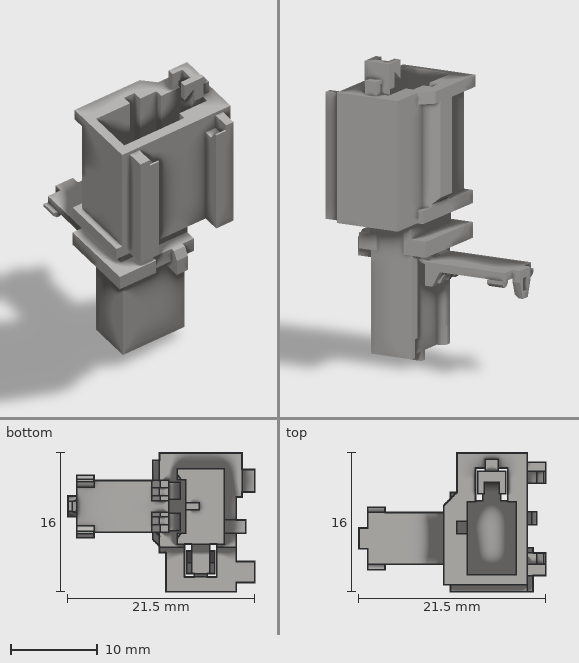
import cadquery as cq
import math


TOTAL_HEIGHT = 36.8
PIN_LENGTH = 1.18
COLLAR_BOTTOM = 13.58
COLLAR_TOP = 15.45
HOUSING_BOTTOM = 17.7
FLANGE_TOP = 19.25
RIM_BOTTOM = 31.75
HOUSING_TOP = 33.2

RIM_LEFT = 9.75
WALL_LEFT = 11.25
HOUSING_RIGHT = 19.35
HOUSING_FRONT = 0.8
HOUSING_BACK = 15.97
RIM_CORNER = 1.5
RIDGE_STEP = WALL_LEFT - RIM_LEFT
RIDGE_FRONT = 6.15
RIDGE_BACK = 8.75
FLANGE_LEFT = 10.52
FLANGE_BACK = 11.45
RIDGE_FOOT_BEVEL = FLANGE_LEFT - RIM_LEFT
RIDGE_FOOT = 19.58

LATCH_X = 15.27
CAVITY_WIDTH = 5.65
CAVITY_FRONT = 1.95
CAVITY_BACK = 10.38
KEYWAY_FRONT = 6.7
KEYWAY_WIDTH = 1.45
KEYWAY_FLOOR = RIDGE_FOOT + RIDGE_FOOT_BEVEL
SLOT_WIDTH = 3.68
SLOT_BACK = 14.25

ARM_WIDTH = 2.1
ARM_FRONT = 12.62
ARM_BACK = 13.87
ARM_ROOT_RADIUS = 1.1
HEAD_WIDTH = 3.25
HEAD_BOTTOM = 33.8
HEAD_GAP_WIDTH = 1.7
NOSE_FRONT = 11.25
NOSE_TIP_Z = 34.55
NOSE_ROOT_Z = 35.7
STRAP_WIDTH = 1.5
STRAP_BACK = 15.25
STRAP_TOP = 34.85
STRAP_THICKNESS = 0.45

STEM_LEFT = 12.55
STEM_RIGHT = 18.0
STEM_FRONT = 1.85
STEM_BACK = 10.5
NECK_FRONT = 1.55
NECK_BACK = 10.85
COLLAR_RIGHT = 20.02
COLLAR_STEP_Y = 5.08
CHANNEL_DEPTH = 1.0
CHANNEL_WIDTH = 6.2
FLARE_WIDTH = 0.6
FLARE_DEPTH = 0.45
FLARE_HEIGHT = 2.25
PIN_WIDTH = 1.6
PIN_THICKNESS = 0.8

STOP_FRONT = 7.7
STOP_BACK = 9.25
STOP_RIGHT = 20.45
STOP_BOTTOM = 12.25
STOP_SLOPE_RUN = 0.6
STOP_SLOPE_RISE = 1.05

RAIL_RIGHT = 21.5
RAIL_TOP = 32.75
RAIL_LEG_FRONT = (1.88, 3.2)
RAIL_LIP_FRONT = (3.2, 4.5)
RAIL_LEG_BACK = (13.87, 14.9)
RAIL_LIP_BACK = (12.48, 13.87)
LIP_TOP = 31.9
LIP_THICKNESS = 0.22
LIP_SLOPE_RUN = 0.85
LIP_SLOPE_RISE = 1.05

LID_Y = 6.15
LID_LEFT = 1.0
LID_RIGHT = 11.6
LID_WIDTH = 5.95
LID_TOP = 12.6
LID_BOTTOM = 11.6
TONGUE_WIDTH = 2.43
TONGUE_TIP_WIDTH = 1.15
TONGUE_BOTTOM = 9.13
TONGUE_TAPER_Z = 11.15
TONGUE_BEVEL = 0.48
WINDOW_WIDTH = 1.03
WINDOW_BOTTOM = 9.95
EAR_LENGTH = 2.02
EAR_REACH = 3.6
EAR_TOP = 11.75
EAR_BOTTOM = 10.85
EAR_NOSE_HEIGHT = 0.45
EAR_FOOT_WIDTH = 0.3
EAR_ROOT_WIDTH = 0.77
EAR_FLANK_RADIUS = 0.92
LEG_LEFT = 9.65
LEG_BOTTOM = 9.75
LEG_SLOPE_RUN = 1.0
OUTER_LEG_WIDTH = 0.85
INNER_LEG_WIDTH = 0.55
WEB_BOTTOM = 10.7
HINGE_THICKNESS = 0.33
HINGE_RADIUS = COLLAR_BOTTOM - LID_TOP
HINGE_WIDTH = 2.0
HINGE_OFFSET = 1.8


def block(x, y, z):
    """Box from (low, high) pairs along each axis."""
    size = (x[1] - x[0], y[1] - y[0], z[1] - z[0])
    return cq.Workplane("XY").box(*size, centered=False).translate((x[0], y[0], z[0]))


def about(centre, width):
    """(low, high) pair of the given width about a centre."""
    return (centre - width / 2, centre + width / 2)


def side_prism(points, y):
    """Prism along Y from an (X, Z) outline."""
    prism = cq.Workplane("XZ").polyline(points).close().extrude(y[0] - y[1])
    return prism.translate((0, y[0], 0))


def end_prism(points, x):
    """Prism along X from a (Y, Z) outline."""
    return cq.Workplane("YZ").polyline(points).close().extrude(x[1] - x[0]).translate((x[0], 0, 0))


def make_housing():
    depth = (HOUSING_FRONT, HOUSING_BACK)
    walls = block((WALL_LEFT, HOUSING_RIGHT), depth, (HOUSING_BOTTOM, HOUSING_TOP))
    flange = block((FLANGE_LEFT, HOUSING_RIGHT), (0, FLANGE_BACK), (HOUSING_BOTTOM, FLANGE_TOP))

    rim_back = FLANGE_BACK - RIM_CORNER
    rim_outline = [
        (WALL_LEFT, HOUSING_FRONT),
        (RIM_LEFT, HOUSING_FRONT),
        (RIM_LEFT, rim_back),
        (WALL_LEFT, FLANGE_BACK),
    ]
    rim = cq.Workplane("XY").workplane(offset=RIM_BOTTOM).polyline(rim_outline).close()
    rim = rim.extrude(HOUSING_TOP - RIM_BOTTOM)

    ridge_outline = [
        (WALL_LEFT, RIDGE_FRONT - RIDGE_STEP),
        (RIM_LEFT, RIDGE_FRONT),
        (RIM_LEFT, RIDGE_BACK),
        (WALL_LEFT, RIDGE_BACK + RIDGE_STEP),
    ]
    ridge = cq.Workplane("XY").workplane(offset=FLANGE_TOP).polyline(ridge_outline).close()
    ridge = ridge.extrude(RIM_BOTTOM - FLANGE_TOP)
    foot_outline = [
        (RIM_LEFT, FLANGE_TOP),
        (FLANGE_LEFT, FLANGE_TOP),
        (FLANGE_LEFT, RIDGE_FOOT),
        (RIM_LEFT, RIDGE_FOOT + RIDGE_FOOT_BEVEL),
    ]
    ridge = ridge.cut(side_prism(foot_outline, depth))
    return walls.union(flange).union(rim).union(ridge)


def make_stem():
    stem = block((STEM_LEFT, STEM_RIGHT), (STEM_FRONT, STEM_BACK), (PIN_LENGTH, COLLAR_BOTTOM))
    neck = block((STEM_LEFT, STEM_RIGHT), (NECK_FRONT, NECK_BACK), (COLLAR_TOP, HOUSING_BOTTOM))
    collar_z = (COLLAR_BOTTOM, COLLAR_TOP)
    collar = block((FLANGE_LEFT, HOUSING_RIGHT), (0, NECK_BACK), collar_z)
    collar = collar.union(block((HOUSING_RIGHT, COLLAR_RIGHT), (0, COLLAR_STEP_Y), collar_z))

    floor_x = STEM_LEFT + CHANNEL_DEPTH
    channel_x = (STEM_LEFT, floor_x)
    low, high = about(LID_Y, CHANNEL_WIDTH)
    stem = stem.cut(block(channel_x, (low, high), (PIN_LENGTH, COLLAR_BOTTOM)))
    flare_outline = [
        (STEM_LEFT, low - FLARE_WIDTH),
        (STEM_LEFT + FLARE_DEPTH, low),
        (STEM_LEFT + FLARE_DEPTH, high),
        (STEM_LEFT, high + FLARE_WIDTH),
    ]
    flare = cq.Workplane("XY").workplane(offset=PIN_LENGTH).polyline(flare_outline).close()
    stem = stem.cut(flare.extrude(FLARE_HEIGHT))

    pin = block((floor_x, floor_x + PIN_WIDTH), about(LID_Y, PIN_THICKNESS), (0, PIN_LENGTH))
    return stem.union(pin).union(neck).union(collar)


def make_stop():
    slope_bottom = COLLAR_TOP - STOP_SLOPE_RISE
    outline = [
        (STEM_RIGHT, STOP_BOTTOM),
        (STOP_RIGHT, STOP_BOTTOM),
        (STOP_RIGHT, slope_bottom),
        (STOP_RIGHT - STOP_SLOPE_RUN, COLLAR_TOP),
        (STEM_RIGHT, COLLAR_TOP),
    ]
    return side_prism(outline, (STOP_FRONT, STOP_BACK))


def make_rail(leg_y, lip_y):
    """Full-height leg beside a lower ledge that ends in a raised lip."""
    leg = block((HOUSING_RIGHT, RAIL_RIGHT), leg_y, (HOUSING_BOTTOM, RAIL_TOP))
    lip_left = RAIL_RIGHT - LIP_THICKNESS
    ledge_right = lip_left - LIP_SLOPE_RUN
    ledge_top = LIP_TOP - LIP_SLOPE_RISE
    lip_outline = [
        (HOUSING_RIGHT, HOUSING_BOTTOM),
        (RAIL_RIGHT, HOUSING_BOTTOM),
        (RAIL_RIGHT, LIP_TOP),
        (lip_left, LIP_TOP),
        (ledge_right, ledge_top),
        (HOUSING_RIGHT, ledge_top),
    ]
    return leg.union(side_prism(lip_outline, lip_y))


def make_openings():
    """Cavity with its shallower keyway, plus the latch slot that runs down through the collar."""
    cavity_z = (FLANGE_TOP, HOUSING_TOP)
    cavity = block(about(LATCH_X, CAVITY_WIDTH), (CAVITY_FRONT, CAVITY_BACK), cavity_z)
    keyway_y = (KEYWAY_FRONT, KEYWAY_FRONT + KEYWAY_WIDTH)
    keyway = block((WALL_LEFT, LATCH_X), keyway_y, (KEYWAY_FLOOR, HOUSING_TOP))
    slot_x = about(LATCH_X, SLOT_WIDTH)
    slot = block(slot_x, (STEM_BACK, SLOT_BACK), (COLLAR_BOTTOM, HOUSING_TOP))
    slot_mouth = block(slot_x, (CAVITY_BACK, STEM_BACK), cavity_z)
    return cavity.union(keyway).union(slot).union(slot_mouth)


def make_latch():
    """Spring arm rising from the cavity floor, with a forked hook and a strap to the back wall."""
    arm_x = about(LATCH_X, ARM_WIDTH)
    fillet_top = FLANGE_TOP + ARM_ROOT_RADIUS
    bend = ARM_ROOT_RADIUS * (1 - math.sqrt(0.5))
    arm = (
        cq.Workplane("YZ")
        .moveTo(STEM_BACK, HOUSING_BOTTOM)
        .lineTo(ARM_BACK, HOUSING_BOTTOM)
        .lineTo(ARM_BACK, HEAD_BOTTOM)
        .lineTo(ARM_FRONT, HEAD_BOTTOM)
        .lineTo(ARM_FRONT, fillet_top)
        .threePointArc((ARM_FRONT - bend, FLANGE_TOP + bend), (ARM_FRONT - ARM_ROOT_RADIUS, FLANGE_TOP))
        .lineTo(STEM_BACK, FLANGE_TOP)
        .close()
        .extrude(ARM_WIDTH)
        .translate((arm_x[0], 0, 0))
    )
    head_outline = [
        (ARM_BACK, HEAD_BOTTOM),
        (ARM_BACK, TOTAL_HEIGHT),
        (NOSE_FRONT, TOTAL_HEIGHT),
        (NOSE_FRONT, NOSE_TIP_Z),
        (ARM_FRONT, NOSE_ROOT_Z),
        (ARM_FRONT, HEAD_BOTTOM),
    ]
    head = end_prism(head_outline, about(LATCH_X, HEAD_WIDTH))
    gap_x = about(LATCH_X, HEAD_GAP_WIDTH)
    head = head.cut(block(gap_x, (NOSE_FRONT, ARM_FRONT), (HEAD_BOTTOM, TOTAL_HEIGHT)))

    strap_bottom = STRAP_TOP - STRAP_THICKNESS
    strap_outline = [
        (ARM_BACK, strap_bottom),
        (ARM_BACK, STRAP_TOP),
        (STRAP_BACK, STRAP_TOP),
        (STRAP_BACK, HOUSING_TOP),
        (SLOT_BACK, HOUSING_TOP),
        (SLOT_BACK, strap_bottom),
    ]
    strap = end_prism(strap_outline, about(LATCH_X, STRAP_WIDTH))
    return arm.union(head).union(strap)


def make_tongue():
    """Tapered tongue with a window and a bevelled inner tip."""
    half = TONGUE_WIDTH / 2
    half_tip = TONGUE_TIP_WIDTH / 2
    tongue_outline = [
        (LID_Y - half, LID_TOP),
        (LID_Y - half, TONGUE_TAPER_Z),
        (LID_Y - half_tip, TONGUE_BOTTOM),
        (LID_Y + half_tip, TONGUE_BOTTOM),
        (LID_Y + half, TONGUE_TAPER_Z),
        (LID_Y + half, LID_TOP),
    ]
    tongue = end_prism(tongue_outline, (0, LID_LEFT))
    bevel_outline = [
        (LID_LEFT - TONGUE_BEVEL, TONGUE_BOTTOM),
        (LID_LEFT, TONGUE_BOTTOM),
        (LID_LEFT, TONGUE_BOTTOM + TONGUE_BEVEL),
    ]
    tongue = tongue.cut(side_prism(bevel_outline, about(LID_Y, TONGUE_WIDTH)))
    return tongue.cut(block((0, LID_LEFT), about(LID_Y, WINDOW_WIDTH), (WINDOW_BOTTOM, LID_BOTTOM)))


def make_ear():
    """Barbed snap ear on the +Y side of the lid, with a rounded inner flank."""
    lid_side = LID_Y + LID_WIDTH / 2
    tip = LID_Y + EAR_REACH
    foot_inner = lid_side - EAR_FOOT_WIDTH / 2
    foot_outer = lid_side + EAR_FOOT_WIDTH / 2
    ear = (
        cq.Workplane("YZ")
        .moveTo(lid_side, LID_BOTTOM)
        .lineTo(tip, EAR_TOP)
        .lineTo(tip, EAR_TOP - EAR_NOSE_HEIGHT)
        .lineTo(foot_outer, EAR_BOTTOM)
        .lineTo(foot_inner, EAR_BOTTOM)
        .radiusArc((lid_side - EAR_ROOT_WIDTH, LID_BOTTOM), EAR_FLANK_RADIUS)
        .lineTo(lid_side - EAR_ROOT_WIDTH, LID_TOP)
        .lineTo(lid_side, LID_TOP)
        .close()
        .extrude(EAR_LENGTH)
    )
    return ear.translate((LID_LEFT, 0, 0))


def make_leg(y, bottom, slope_run):
    """Wedge-shaped leg under the hinge end of the lid."""
    outline = [
        (LEG_LEFT, LID_BOTTOM),
        (LEG_LEFT + slope_run, bottom),
        (LID_RIGHT, bottom),
        (LID_RIGHT, LID_BOTTOM),
    ]
    return side_prism(outline, y)


def make_leg_pair(side):
    """Outer and inner leg on one side of the lid, joined by a shorter 45 degree web."""
    outer_edge = LID_WIDTH / 2
    outer_y = LID_Y + side * (outer_edge - OUTER_LEG_WIDTH / 2)
    inner_y = LID_Y + side * (TONGUE_WIDTH - INNER_LEG_WIDTH) / 2
    pair = make_leg(about(outer_y, OUTER_LEG_WIDTH), LEG_BOTTOM, LEG_SLOPE_RUN)
    pair = pair.union(make_leg(about(inner_y, INNER_LEG_WIDTH), LEG_BOTTOM, LEG_SLOPE_RUN))
    web_y = (min(inner_y, outer_y), max(inner_y, outer_y))
    return pair.union(make_leg(web_y, WEB_BOTTOM, LID_BOTTOM - WEB_BOTTOM))


def make_hinge(centre_y):
    """Thin strap curving up from the lid's top edge to the underside of the collar."""
    outer = HINGE_RADIUS + HINGE_THICKNESS
    turn = math.sqrt(0.5)
    hinge = (
        cq.Workplane("XZ")
        .moveTo(LID_RIGHT, LID_TOP)
        .threePointArc(
            (LID_RIGHT + HINGE_RADIUS * turn, COLLAR_BOTTOM - HINGE_RADIUS * turn),
            (LID_RIGHT + HINGE_RADIUS, COLLAR_BOTTOM),
        )
        .lineTo(LID_RIGHT + outer, COLLAR_BOTTOM)
        .threePointArc(
            (LID_RIGHT + outer * turn, COLLAR_BOTTOM - outer * turn),
            (LID_RIGHT, COLLAR_BOTTOM - outer),
        )
        .close()
        .extrude(HINGE_WIDTH)
    )
    return hinge.translate((0, centre_y + HINGE_WIDTH / 2, 0))


def make_lid():
    lid_y = about(LID_Y, LID_WIDTH)
    lid = block((LID_LEFT, LID_RIGHT), lid_y, (LID_BOTTOM, LID_TOP)).union(make_tongue())
    ear = make_ear()
    lid = lid.union(ear).union(ear.mirror("XZ", (0, LID_Y, 0)))

    for side in (-1, 1):
        lid = lid.union(make_leg_pair(side))
        lid = lid.union(make_hinge(LID_Y + side * HINGE_OFFSET))
    return lid


body = make_housing().union(make_stem()).union(make_stop())
body = body.union(make_rail(RAIL_LEG_FRONT, RAIL_LIP_FRONT))
body = body.union(make_rail(RAIL_LEG_BACK, RAIL_LIP_BACK))
body = body.cut(make_openings())
result = body.union(make_latch()).union(make_lid())